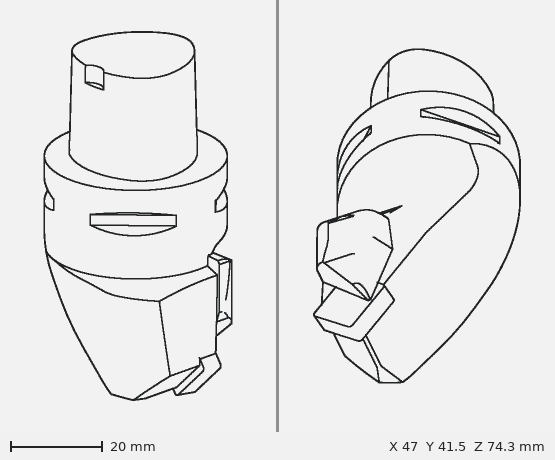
import cadquery as cq
import math


reach = 80.0

shank_height = 24.0
shank_taper = 1 / 40
lobe_center_radius = 6.1
lobe_radius = 8.7
flank_radius = 19.3
lobe_angles = (90, 210, 330)
keyway_radius = 3.6
keyway_depth = 4.1
keyway_inner_y = -10.95

flange_radius = 20.0
flange_height = 20.9
slot_center_z = -8.0
slot_floor_distance = 17.66
slot_floor_width = 2.5
slot_mouth_width = 5.4
slot_length = 30.0

head_back_radius = 20.04
head_front_y = -21.47
head_bottom_z = -48.15
blend_radius = 30.0
blend_angle = math.radians(17.2)
front_flat_start_x = 6.05
front_flat_end_x = 12.1
corner_radius = 10.0
corner_angle = math.radians(25)
outer_arc_middle = (21.45, -17.2)
outer_arc_end = (26.0, -12.2)
shoulder_angle = math.radians(15)
side_angle = math.radians(5)
side_top_x = 23.38
diagonal_sum = -31.43
nose_difference = 65.85
bevel_start_y = -13.9
bevel_angle = math.radians(16.5)

insert_side = 12.7
insert_thickness = 4.76
insert_corner_radius = 0.8
insert_tip = (18.35, 0.0, -50.65)
rake_angle = math.radians(8)

pocket_floor_y = 3.95
pocket_roof_z = -15.9
pocket_roof_angle = math.radians(5)
pocket_fillet = 3.6

clamp_left_x = 5.5
clamp_left_draft = math.radians(30)
clamp_lower_slope = math.radians(28)
clamp_bend_z = -31.2
clamp_top_z = -18.6
clamp_bottom_z = -44.4
clamp_corner_x = 23.3
clamp_corner_width = 0.6
clamp_corner_height = 0.7
clamp_right_x = 25.0
clamp_widest_z = -30.0
clamp_nose_top = (24.4, -32.3)
clamp_nose_bottom_x = 13.8
clamp_crown_y = 3.5
clamp_crown_middle = (7.6, -20.2)
clamp_crown_end = (9.8, -23.6)
clamp_back_points = ((9.23, clamp_bend_z), (8.35, -35.9), (4.68, -41.75), (1.25, clamp_bottom_z))
clamp_plan_y = 9.9
clamp_plan_arc_start = (19.8, 9.4)
clamp_plan_arc_middle = (23.2, 6.8)
clamp_plan_right_y = 2.2
clamp_edge_fillet = 3.2
clamp_fillet_box = ((8, 5.5, -44), (13.9, 9.95, -19))


def polar(radius, degrees):
    """Return the point at a radius and angle around the origin."""
    angle = math.radians(degrees)
    return radius * math.cos(angle), radius * math.sin(angle)


def shifted(point, radius, degrees):
    """Return a point moved by a radius along an angle."""
    dx, dy = polar(radius, degrees)
    return point[0] + dx, point[1] + dy


def polygon_wire(inset, height):
    """Return the three-lobed outline, offset inward and placed at a height."""
    lobe = lobe_radius - inset
    flank = flank_radius - inset
    outline = cq.Workplane("XY", origin=(0, 0, height))
    first_center = polar(lobe_center_radius, lobe_angles[0])
    outline = outline.moveTo(*shifted(first_center, lobe, lobe_angles[0] - 30))
    for angle in lobe_angles:
        center = polar(lobe_center_radius, angle)
        opposite_center = polar(lobe_center_radius, angle - 120)
        outline = outline.threePointArc(shifted(center, lobe, angle), shifted(center, lobe, angle + 30))
        outline = outline.threePointArc(
            shifted(opposite_center, flank, angle + 60),
            shifted(opposite_center, flank, angle + 90),
        )
    return outline.close().val()


def make_shank():
    wires = [polygon_wire(0, 0), polygon_wire(shank_taper * shank_height, shank_height)]
    shank = cq.Workplane(obj=cq.Solid.makeLoft(wires, True))
    keyway = (
        cq.Workplane("XY", origin=(0, keyway_inner_y - keyway_radius, shank_height))
        .circle(keyway_radius)
        .extrude(-keyway_depth)
    )
    return shank.cut(keyway)


def make_flange():
    flange = cq.Workplane("XY").circle(flange_radius).extrude(-flange_height)
    slot = (
        cq.Workplane("XZ", origin=(0, slot_length / 2, slot_center_z))
        .moveTo(slot_floor_distance, -slot_floor_width / 2)
        .lineTo(flange_radius, -slot_mouth_width / 2)
        .lineTo(flange_radius, slot_mouth_width / 2)
        .lineTo(slot_floor_distance, slot_floor_width / 2)
        .close()
        .extrude(slot_length)
    )
    for angle in (45, 135, 225, 315):
        flange = flange.cut(slot.rotate((0, 0, 0), (0, 0, 1), angle))
    return flange


def make_head():
    """Return the head under a conical shoulder, before the diagonal and pocket cuts."""
    blend_start = (
        front_flat_start_x - blend_radius * math.sin(blend_angle),
        head_front_y + blend_radius * (1 - math.cos(blend_angle)),
    )
    blend_middle = (
        front_flat_start_x - blend_radius * math.sin(blend_angle / 2),
        head_front_y + blend_radius * (1 - math.cos(blend_angle / 2)),
    )
    corner_middle = (
        front_flat_end_x + corner_radius * math.sin(corner_angle / 2),
        head_front_y + corner_radius * (1 - math.cos(corner_angle / 2)),
    )
    corner_end = (
        front_flat_end_x + corner_radius * math.sin(corner_angle),
        head_front_y + corner_radius * (1 - math.cos(corner_angle)),
    )
    tangent_degrees = 270 - math.degrees(blend_angle)
    head = (
        cq.Workplane("XY", origin=(0, 0, -flange_height))
        .moveTo(0, head_back_radius)
        .threePointArc((-head_back_radius, 0), polar(head_back_radius, tangent_degrees))
        .lineTo(*blend_start)
        .threePointArc(blend_middle, (front_flat_start_x, head_front_y))
        .lineTo(front_flat_end_x, head_front_y)
        .threePointArc(corner_middle, corner_end)
        .threePointArc(outer_arc_middle, outer_arc_end)
        .lineTo(outer_arc_end[0], head_back_radius)
        .close()
        .extrude(head_bottom_z + flange_height)
    )
    shoulder_drop = (reach - flange_radius) * math.tan(shoulder_angle)
    under_shoulder = (
        cq.Workplane("XZ")
        .moveTo(0, -flange_height)
        .lineTo(flange_radius, -flange_height)
        .lineTo(reach, -flange_height - shoulder_drop)
        .lineTo(reach, -reach)
        .lineTo(0, -reach)
        .close()
        .revolve(360, (0, 0, 0), (0, 1, 0))
    )
    side_bottom_x = side_top_x + (reach - flange_height) * math.tan(side_angle)
    beyond_side = (
        cq.Workplane("XZ", origin=(0, reach / 2, 0))
        .moveTo(side_top_x, -flange_height)
        .lineTo(reach, -flange_height)
        .lineTo(reach, -reach)
        .lineTo(side_bottom_x, -reach)
        .close()
        .extrude(reach)
    )
    beyond_nose = (
        cq.Workplane("XZ", origin=(0, reach / 2, 0))
        .moveTo(0, -nose_difference)
        .lineTo(reach, reach - nose_difference)
        .lineTo(reach, -nose_difference)
        .close()
        .extrude(reach)
    )
    below_bevel = (
        cq.Workplane("YZ")
        .moveTo(bevel_start_y, head_bottom_z)
        .lineTo(bevel_start_y - reach, head_bottom_z + reach * math.tan(bevel_angle))
        .lineTo(bevel_start_y - reach, head_bottom_z)
        .close()
        .extrude(reach)
    )
    return head.intersect(under_shoulder).cut(beyond_side).cut(beyond_nose).cut(below_bevel)


def rake_plane():
    """Return the plane of the rake face, its normal pointing into the insert."""
    slant = math.sin(rake_angle) / math.sqrt(2)
    normal = (-slant, -math.cos(rake_angle), slant)
    return cq.Plane(origin=insert_tip, xDir=(1, 0, 1), normal=normal)


def make_insert():
    return (
        cq.Workplane(rake_plane())
        .rect(insert_side, insert_side, centered=False)
        .extrude(insert_thickness)
        .edges(cq.selectors.ParallelDirSelector(rake_plane().zDir))
        .fillet(insert_corner_radius)
    )


def make_chip_pocket():
    """Return the space of the chip pocket: an upright floor, cut deeper along the rake plane."""
    def roof_z(y):
        return pocket_roof_z - (flange_radius - y) * math.tan(pocket_roof_angle)

    def space_under_roof(floor_y):
        return (
            cq.Workplane("YZ", origin=(-reach / 2, 0, 0))
            .moveTo(reach, roof_z(reach))
            .lineTo(floor_y, roof_z(floor_y))
            .lineTo(floor_y, -reach)
            .lineTo(reach, -reach)
            .close()
            .extrude(reach)
        )

    upright = space_under_roof(pocket_floor_y)
    corner = cq.selectors.NearestToPointSelector((0, pocket_floor_y, roof_z(pocket_floor_y)))
    upright = upright.edges(corner).fillet(pocket_fillet)
    above_rake = cq.Workplane(rake_plane()).rect(2 * reach, 2 * reach).extrude(-reach)
    below_clamp_top = (
        cq.Workplane("XY", origin=(0, 0, clamp_top_z))
        .rect(2 * reach, 2 * reach)
        .extrude(-reach)
    )
    return upright.union(above_rake.intersect(below_clamp_top))


def make_clamp(chip_pocket):
    """Return the clamp: what three crossing outlines share inside the pocket, with rounded left edges."""
    face = (
        cq.Workplane("XZ", origin=(0, flange_radius, 0))
        .moveTo(0, clamp_bottom_z)
        .lineTo(0, clamp_top_z)
        .lineTo(clamp_corner_x, clamp_top_z)
        .lineTo(clamp_corner_x + clamp_corner_width, clamp_top_z - clamp_corner_height)
        .lineTo(clamp_right_x, clamp_widest_z)
        .lineTo(*clamp_nose_top)
        .lineTo(clamp_nose_bottom_x, clamp_bottom_z)
        .close()
        .extrude(reach)
    )
    side = (
        cq.Workplane("YZ")
        .moveTo(0, clamp_top_z)
        .lineTo(clamp_crown_y, clamp_top_z)
        .threePointArc(clamp_crown_middle, clamp_crown_end)
    )
    for point in clamp_back_points:
        side = side.lineTo(*point)
    side = side.lineTo(0, clamp_bottom_z).close().extrude(reach)
    plan = (
        cq.Workplane("XY", origin=(0, 0, clamp_bend_z))
        .moveTo(clamp_left_x, 0)
        .lineTo(clamp_left_x + clamp_plan_y * math.tan(clamp_left_draft), clamp_plan_y)
        .lineTo(*clamp_plan_arc_start)
        .threePointArc(clamp_plan_arc_middle, (clamp_right_x, clamp_plan_right_y))
        .lineTo(clamp_right_x, 0)
        .close()
    )
    plan_face = cq.Face.makeFromWires(plan.val())

    def swept_plan(x, z):
        return cq.Workplane(obj=cq.Solid.extrudeLinear(plan_face, cq.Vector(x, 0, z)))

    leaning = swept_plan(reach * math.tan(clamp_lower_slope), -reach)
    outline = swept_plan(0, reach).union(leaning.intersect(swept_plan(0, -reach)))
    clamp = face.intersect(side).intersect(outline)
    left_edges = cq.selectors.BoxSelector(*clamp_fillet_box)
    clamp = clamp.edges(left_edges).fillet(clamp_edge_fillet)
    return clamp.intersect(chip_pocket)


insert = make_insert()
chip_pocket = make_chip_pocket()
below_diagonal = (
    cq.Workplane("XZ", origin=(0, reach / 2, 0))
    .moveTo(-reach / 2, diagonal_sum + reach / 2)
    .lineTo(reach / 2, diagonal_sum - reach / 2)
    .lineTo(-reach / 2, diagonal_sum - reach / 2)
    .close()
    .extrude(reach)
)
lower_body = make_flange().union(make_head()).cut(below_diagonal).cut(chip_pocket)
holder = make_shank().union(lower_body).union(make_clamp(chip_pocket)).cut(insert)

result = cq.Compound.makeCompound([holder.val(), insert.val()])